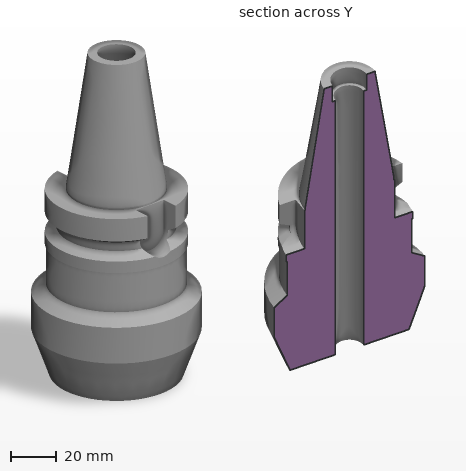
import cadquery as cq

total_height = 155.4
nose_cone_top = 21.9
collar_top = 39.3
shoulder_top = 43.8
flange_bottom = 63.1
groove_bottom = 68.7
groove_floor_bottom = 71.5
groove_floor_top = 75.7
groove_top = 78.5
flange_top = 89.4
taper_start = 90.3

nose_radius = 29.7
collar_radius = 37.53
body_radius = 31.1
flange_radius = 31.5
groove_radius = 26.5
taper_base_radius = 22.2
taper_ratio = 7 / 24
taper_tip_radius = taper_base_radius - (total_height - taper_start) * taper_ratio / 2

through_bore_diameter = 14.0
tip_bore_diameter = 17.0
tip_bore_depth = 9.0

slot_width = 16.2
slot_bottom = 67.3
slot_floor_distance = 22.5


def holder_body():
    """Revolve the nose, collar, grooved flange and taper about Z."""
    profile = [
        (0, 0),
        (nose_radius, 0),
        (collar_radius, nose_cone_top),
        (collar_radius, collar_top),
        (body_radius, shoulder_top),
        (body_radius, flange_bottom),
        (flange_radius, flange_bottom),
        (flange_radius, groove_bottom),
        (groove_radius, groove_floor_bottom),
        (groove_radius, groove_floor_top),
        (flange_radius, groove_top),
        (flange_radius, flange_top),
        (taper_base_radius, flange_top),
        (taper_base_radius, taper_start),
        (taper_tip_radius, total_height),
        (0, total_height),
    ]
    return cq.Workplane("XZ").polyline(profile).close().revolve(360, (0, 0), (0, 1))


def drive_slot(side):
    """Round-bottomed cutter for the slot on the +X (1) or -X (-1) side."""
    half_width = slot_width / 2
    arc_center_height = slot_bottom + half_width
    return (
        cq.Workplane("YZ", origin=(side * slot_floor_distance, 0, 0))
        .moveTo(-half_width, flange_top)
        .lineTo(-half_width, arc_center_height)
        .threePointArc((0, slot_bottom), (half_width, arc_center_height))
        .lineTo(half_width, flange_top)
        .close()
        .extrude(side * (collar_radius - slot_floor_distance))
    )


def bore(diameter, depth):
    """Round cutter going down from the taper tip along the axis."""
    return cq.Workplane("XY", origin=(0, 0, total_height)).circle(diameter / 2).extrude(-depth)


result = holder_body()
for side in (-1, 1):
    result = result.cut(drive_slot(side))
result = result.cut(bore(through_bore_diameter, total_height))
result = result.cut(bore(tip_bore_diameter, tip_bore_depth))